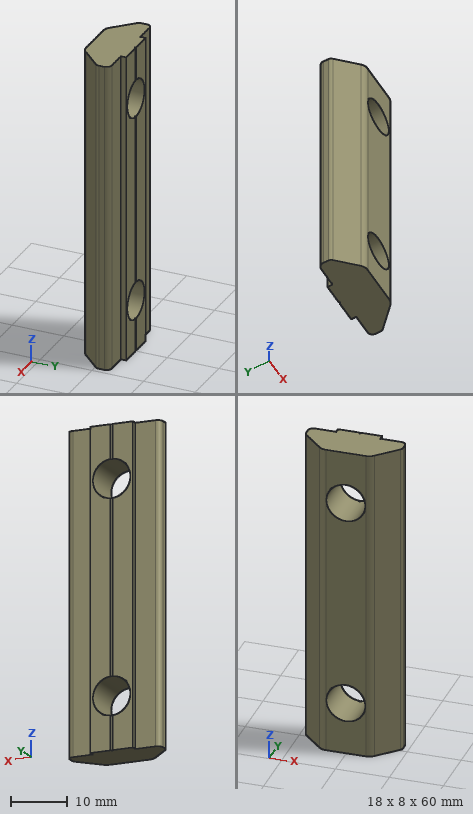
import cadquery as cq

length = 60.0
width = 18.0
depth = 8.0

tongue_width = 8.2
tongue_height = 1.0
base_width = 9.0
side_radius = 1.0
base_radius = 2.0
groove_depth = 0.21

hole_diameter = 7.2
hole_spacing = 39.95

back_y = depth / 2
front_y = -depth / 2
ledge_y = back_y - tongue_height
half_width = width / 2
half_base = base_width / 2
flank_run = half_width - half_base
flank_y = front_y + flank_run


def make_body():
    """Extrude the wide body with its sloped flanks and rounded long edges."""
    body = (
        cq.Workplane("XY")
        .workplane(offset=-length / 2)
        .polyline([
            (-half_base, front_y),
            (half_base, front_y),
            (half_width, flank_y),
            (half_width, ledge_y),
            (-half_width, ledge_y),
            (-half_width, flank_y),
        ])
        .close()
        .extrude(length)
    )
    body = body.faces("<X or >X").edges("|Z").fillet(side_radius)
    return body.faces("<Y").edges("|Z").fillet(base_radius)


def make_tongue():
    """Extrude the raised tongue with the V groove along its middle."""
    half_tongue = tongue_width / 2
    return (
        cq.Workplane("XY")
        .workplane(offset=-length / 2)
        .polyline([
            (-half_tongue, ledge_y),
            (half_tongue, ledge_y),
            (half_tongue, back_y),
            (groove_depth, back_y),
            (0, back_y - groove_depth),
            (-groove_depth, back_y),
            (-half_tongue, back_y),
        ])
        .close()
        .extrude(length)
    )


def make_holes():
    """Cylinders along Y that pass through the whole depth."""
    return (
        cq.Workplane("XZ")
        .pushPoints([(0, -hole_spacing / 2), (0, hole_spacing / 2)])
        .circle(hole_diameter / 2)
        .extrude(depth, both=True)
    )


result = make_body().union(make_tongue()).cut(make_holes())